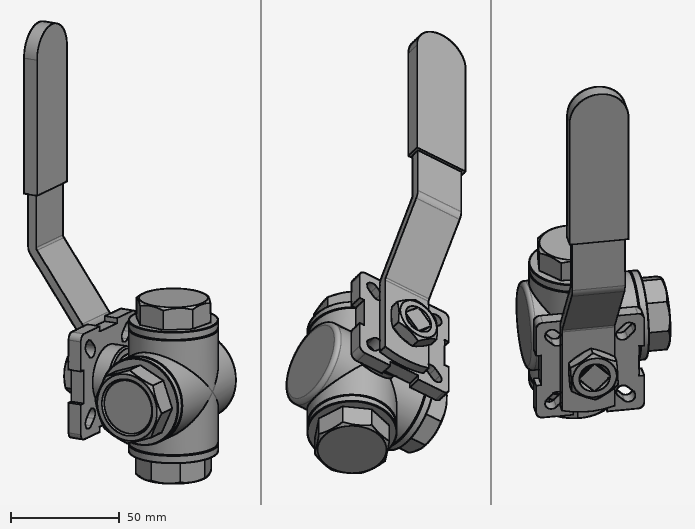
import cadquery as cq
import math


barrel_diameter = 41.5
barrel_end = 27.6
collar_end = 31.5
joint_chamfer = 0.3
blind_end = 23.5
blind_fillet = 2.3

octagon_radius = 17.7
octagon_tip_radius = 15.9
octagon_tip_chamfer = 1.2
octagon_sides = 8
cap_end = 42.0
fitting_end = 42.6
branch_fitting_end = 42.5
cap_turn = 15
bottom_turn = 5
branch_turn = -2
recess_diameter = 27.0
recess_floor_diameter = 25.3
recess_depth = 0.8

nut_face_x = -52.3
lever_face_x = -45.5
plate_face_x = -41.2
plate_back_x = -34.6
gland_back_x = -25.8
gland_diameter = 29.0
gland_chamfer = 0.8
stem_diameter = 22.5
stem_chamfer = 0.6

plate_size = 50.7
plate_corner_radius = 3.0
notch_width = 15.9
notch_depth = 2.5
slot_offset = 16.7
slot_width = 6.2
slot_length = 10.0

nut_radius = 12.5
nut_tip_radius = 10.3
nut_tip_chamfer = 1.2
nut_turn = 3
nut_sides = 6
countersink_diameter = 14.5
countersink_depth = 2.0
square_size = 10.7

lever_y = 1.6
lever_thickness = plate_face_x - lever_face_x
lever_width = 24.7
lever_top_face_x = -71.3
lower_bend_z = 22.9
upper_bend_z = 57.0
bend_inner_radius = 2.0
lever_bottom_z = -21.8
lever_bottom_rise = 1.9
grip_thickness = 7.0
grip_width = 27.6
grip_bottom_z = 84.5
grip_top_z = 163.4


def cylinder_z(diameter, z_start, z_end):
    return cq.Workplane("XY").workplane(offset=z_start).circle(diameter / 2).extrude(z_end - z_start)


def cylinder_x(diameter, x_start, x_end):
    return cq.Workplane("YZ").workplane(offset=x_start).circle(diameter / 2).extrude(x_end - x_start)


def chamfered_prism(sides, radius, turn, height, tip_radius, tip_chamfer):
    """Upright prism whose top corners are cut by a cone."""
    prism = cq.Workplane("XY").polygon(sides, 2 * radius).extrude(height)
    prism = prism.rotate((0, 0, 0), (0, 0, 1), turn)
    envelope = (
        cq.Workplane("XZ")
        .polyline([
            (0, 0), (radius, 0), (radius, height - tip_chamfer), (tip_radius, height), (0, height)
        ])
        .close()
        .revolve(360, (0, 0, 0), (0, 1, 0))
    )
    return prism.intersect(envelope)


def port(end, turn):
    """Half barrel, end collar and octagonal fitting pointing up +Z."""
    barrel = cylinder_z(barrel_diameter, 0, barrel_end).faces(">Z").chamfer(joint_chamfer)
    collar = cylinder_z(barrel_diameter, barrel_end, collar_end).faces("<Z or >Z").chamfer(joint_chamfer)
    fitting = chamfered_prism(
        octagon_sides, octagon_radius, turn, end - collar_end, octagon_tip_radius, octagon_tip_chamfer
    )
    return barrel.union(collar).union(fitting.translate((0, 0, collar_end)))


def tapered_pocket(mouth_diameter, floor_diameter, depth, mouth_z):
    """Conical pocket volume opening upward at mouth_z."""
    return (
        cq.Workplane("XY", origin=(0, 0, mouth_z))
        .circle(mouth_diameter / 2)
        .workplane(offset=-depth)
        .circle(floor_diameter / 2)
        .loft()
    )


def make_body():
    top = port(cap_end, cap_turn)
    bottom = port(fitting_end, bottom_turn).rotate((0, 0, 0), (1, 0, 0), 180)
    recess = tapered_pocket(recess_diameter, recess_floor_diameter, recess_depth, branch_fitting_end)
    branch = port(branch_fitting_end, branch_turn).cut(recess).rotate((0, 0, 0), (1, 0, 0), 90)
    blind = cylinder_z(barrel_diameter, 0, blind_end).faces(">Z").edges().fillet(blind_fillet)
    blind = blind.rotate((0, 0, 0), (1, 0, 0), -90)
    return top.union(bottom).union(branch).union(blind)


def make_stem():
    gland = cylinder_x(gland_diameter, plate_back_x, gland_back_x).faces(">X").chamfer(gland_chamfer)
    neck = cylinder_x(stem_diameter, gland_back_x, 0).faces("<X").chamfer(stem_chamfer)
    return gland.union(neck)


def make_plate():
    thickness = plate_back_x - plate_face_x
    face = cq.Workplane("YZ", origin=(plate_face_x, 0, 0))
    plate = face.rect(plate_size, plate_size).extrude(thickness).edges("|X").fillet(plate_corner_radius)
    for quarter in range(4):
        notch = face.center(0, plate_size / 2).rect(notch_width, 2 * notch_depth).extrude(thickness)
        slot = face.center(slot_offset, slot_offset).slot2D(slot_length, slot_width, 45).extrude(thickness)
        plate = plate.cut(notch.union(slot).rotate((0, 0, 0), (1, 0, 0), 90 * quarter))
    return plate


def make_nut():
    height = lever_face_x - nut_face_x
    nut = chamfered_prism(nut_sides, nut_radius, 0, height, nut_tip_radius, nut_tip_chamfer)
    flipped = nut.rotate((0, 0, height / 2), (1, 0, height / 2), 180)
    nut = nut.intersect(flipped).rotate((0, 0, 0), (0, 0, 1), nut_turn)
    countersink_floor = countersink_diameter - 2 * countersink_depth
    countersink = tapered_pocket(countersink_diameter, countersink_floor, countersink_depth, height)
    square = cq.Workplane("XY").rect(square_size, square_size).extrude(height)
    square = square.rotate((0, 0, 0), (0, 0, 1), 45)
    square = square.intersect(cylinder_z(countersink_diameter, 0, height))
    nut = nut.cut(countersink).union(square)
    return nut.rotate((0, 0, 0), (0, 1, 0), -90).translate((lever_face_x, 0, 0))


def make_lever():
    lean = math.atan2(lever_face_x - lever_top_face_x, upper_bend_z - lower_bend_z)
    corner_rise = lever_thickness * math.tan(lean / 2)
    strip = (
        cq.Workplane("XZ")
        .polyline([
            (lever_face_x, lever_bottom_z),
            (lever_face_x, lower_bend_z),
            (lever_top_face_x, upper_bend_z),
            (lever_top_face_x, grip_bottom_z),
            (lever_top_face_x + lever_thickness, grip_bottom_z),
            (lever_top_face_x + lever_thickness, upper_bend_z + corner_rise),
            (plate_face_x, lower_bend_z + corner_rise),
            (plate_face_x, lever_bottom_z),
        ])
        .close()
        .extrude(lever_width / 2, both=True)
    )
    bend_outer_radius = bend_inner_radius + lever_thickness
    bends = [
        (lever_face_x, lower_bend_z, bend_inner_radius),
        (plate_face_x, lower_bend_z + corner_rise, bend_outer_radius),
        (lever_top_face_x, upper_bend_z, bend_outer_radius),
        (lever_top_face_x + lever_thickness, upper_bend_z + corner_rise, bend_inner_radius),
    ]
    for x, z, radius in bends:
        strip = strip.edges(cq.selectors.NearestToPointSelector((x, 0, z))).fillet(radius)

    shoulder_z = lever_bottom_z + lever_bottom_rise
    outline = (
        cq.Workplane("YZ", origin=(lever_top_face_x, 0, 0))
        .moveTo(-lever_width / 2, grip_bottom_z)
        .lineTo(-lever_width / 2, shoulder_z)
        .threePointArc((0, lever_bottom_z), (lever_width / 2, shoulder_z))
        .lineTo(lever_width / 2, grip_bottom_z)
        .close()
        .extrude(plate_face_x - lever_top_face_x)
    )
    grip_face_x = lever_top_face_x - (grip_thickness - lever_thickness) / 2
    grip_arc_z = grip_top_z - grip_width / 2
    grip = (
        cq.Workplane("YZ", origin=(grip_face_x, 0, 0))
        .moveTo(-grip_width / 2, grip_bottom_z)
        .lineTo(-grip_width / 2, grip_arc_z)
        .threePointArc((0, grip_top_z), (grip_width / 2, grip_arc_z))
        .lineTo(grip_width / 2, grip_bottom_z)
        .close()
        .extrude(grip_thickness)
    )
    return strip.intersect(outline).union(grip).translate((0, lever_y, 0))


result = make_body().union(make_stem()).union(make_plate()).union(make_lever()).union(make_nut())